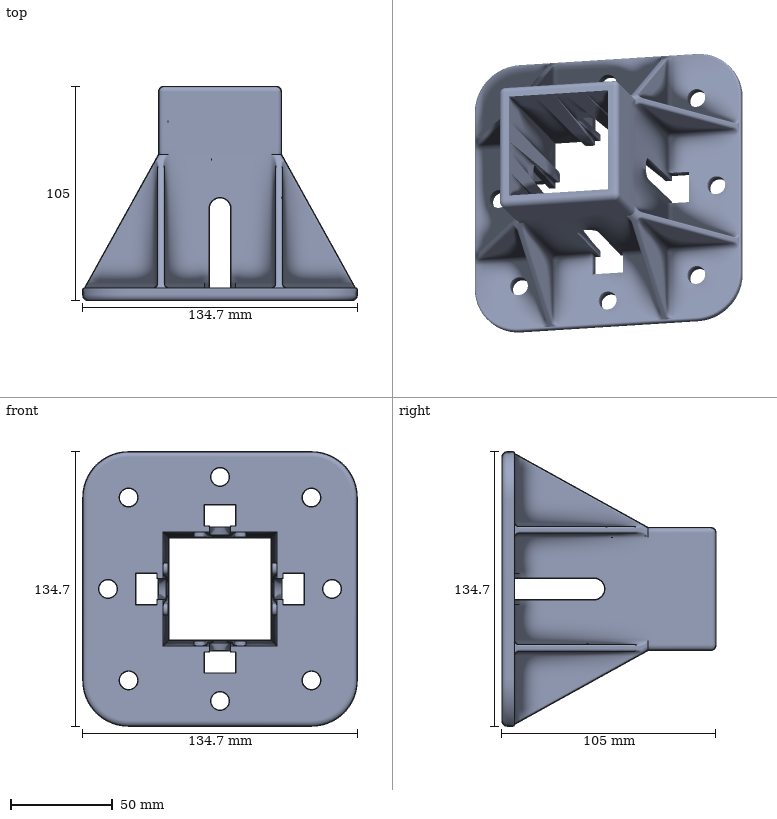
import cadquery as cq
plate_size = 134.7
plate_thickness = 6.2
plate_corner_radius = 22.5
plate_front_fillet = 2.7
plate_rear_fillet = 1.0
total_depth = 105.0

tube_half = 30.2
tube_fillet = 2.7
flare_rear = 71.7
flared_half = 31.0
bore_front_half = 27.9
bore_rear_half = 25.0

rib_thickness = 3.2
rib_offset = 29.0
rib_edge_fillet = 1.0
root_fillet = 2.3
rib_reach = plate_size / 2 - plate_rear_fillet

slot_width = 10.5
slot_end = 50.4
window_width = 15.4
window_outer = 41.2
window_depth = plate_thickness + root_fillet

rail_front = 0.3
rail_outer = 12.7
rail_inner_front = 7.5
rail_inner_rear = 2.4
rail_end_fillet = 2.4
rail_front_half_gap = 25.5

hole_diameter = 9.0
corner_hole_offset = plate_size / 2 - plate_corner_radius
side_hole_offset = 55.0

quarter_turns = [0, 90, 180, 270]
mirror_sides = [-1, 1]


def turned(shape, angle):
    """Rotate a shape about the tube axis."""
    return shape.rotate((0, 0, 0), (0, 1, 0), angle)


def section_plane(y):
    """Plane across the tube axis, with its normal pointing to the rear."""
    return cq.Plane(origin=(0, y, 0), xDir=(1, 0, 0), normal=(0, 1, 0))


def rectangle_loft(y_front, front_size, y_rear, rear_size):
    """Straight-sided taper between two rectangles centred on the tube axis."""
    return (
        cq.Workplane(section_plane(y_front))
        .rect(*front_size)
        .workplane(offset=y_rear - y_front)
        .rect(*rear_size)
        .loft(ruled=True)
    )


def square_loft(y_front, front_half, y_rear, rear_half):
    front_side = 2 * front_half
    rear_side = 2 * rear_half
    return rectangle_loft(y_front, (front_side, front_side), y_rear, (rear_side, rear_side))


def make_plate():
    return (
        cq.Workplane(section_plane(0))
        .rect(plate_size, plate_size)
        .extrude(plate_thickness)
        .edges("|Y")
        .fillet(plate_corner_radius)
        .faces("<Y")
        .edges()
        .fillet(plate_front_fillet)
        .faces(">Y")
        .edges()
        .fillet(plate_rear_fillet)
    )


def make_rear_tube():
    return (
        cq.Workplane(section_plane(flare_rear))
        .rect(2 * tube_half, 2 * tube_half)
        .extrude(total_depth - flare_rear)
        .edges("|Y or >Y")
        .fillet(tube_fillet)
    )


def make_flared_walls(width):
    """Solid cross whose four outer faces are strips of the flared tube walls."""
    pair = rectangle_loft(0, (width, 2 * flared_half), flare_rear, (width, 2 * tube_half))
    return pair.union(turned(pair, 90))


def make_rib_blank(side):
    """Untrimmed rib standing out in +X from one tube corner."""
    return (
        cq.Workplane("XY")
        .box(plate_size / 2 - rib_offset, flare_rear, rib_thickness, centered=(False, False, True))
        .translate((rib_offset, 0, side * rib_offset))
    )


def distance_out(point):
    """Distance from the tube axis, measured square to the tube sides."""
    return max(abs(point.x), abs(point.z))


def is_root_edge(edge):
    """Inner corners: along the tube beside the ribs, and around them on the plate."""
    start, end = edge.startPoint(), edge.endPoint()
    inside_plate_rim = distance_out(edge.Center()) < rib_reach
    along_tube = abs(start.y - end.y) > flare_rear / 2 and distance_out(edge.Center()) < flared_half + 1.3
    on_plate = max(abs(start.y - plate_thickness), abs(end.y - plate_thickness)) < 0.001
    return along_tube or (on_plate and inside_plate_rim)


def is_slope_edge(edge):
    """Long edges running down the sloping backs of the ribs."""
    start, end = edge.startPoint(), edge.endPoint()
    return abs(distance_out(start) - distance_out(end)) > 20.2 and abs(start.y - end.y) > 27


def make_ribbed_flare():
    blank = cq.Workplane(section_plane(0)).rect(plate_size, plate_size).extrude(plate_thickness)
    blank = blank.union(make_flared_walls(2 * rib_offset))
    for angle in quarter_turns:
        for side in mirror_sides:
            blank = blank.union(turned(make_rib_blank(side), angle))
    root_edges = [edge for edge in blank.edges().vals() if is_root_edge(edge)]
    blank = blank.newObject(root_edges).fillet(root_fillet)

    pyramid = (
        square_loft(plate_thickness, rib_reach, flare_rear, tube_half)
        .edges("not (#Y or |X or |Z)")
        .fillet(tube_fillet)
    )
    flare = blank.intersect(pyramid)
    slope_edges = [edge for edge in flare.edges().vals() if is_slope_edge(edge)]
    return flare.newObject(slope_edges).fillet(rib_edge_fillet)


def make_window():
    """Opening in the plate, also clearing the fillet at the foot of the wall."""
    return (
        cq.Workplane("XY")
        .box(window_width, window_depth, window_outer - tube_half, centered=(True, False, False))
        .translate((0, 0, tube_half))
    )


def make_slot():
    half_width = slot_width / 2
    arc_start = slot_end - half_width
    return (
        cq.Workplane("XY")
        .moveTo(-half_width, 0)
        .lineTo(-half_width, arc_start)
        .threePointArc((0, slot_end), (half_width, arc_start))
        .lineTo(half_width, 0)
        .close()
        .extrude(window_outer)
    )


def make_rail(side):
    """Rail blank on the +Z wall, its inner edge closing in behind the slot."""
    return (
        cq.Workplane("XY")
        .moveTo(side * rail_inner_front, rail_front)
        .lineTo(side * rail_outer, rail_front)
        .lineTo(side * rail_outer, total_depth)
        .lineTo(side * rail_inner_rear, total_depth)
        .close()
        .extrude(flared_half)
        .edges("|Z and <Y")
        .fillet(rail_end_fillet)
    )


def make_bore():
    """Tapered bore, with the rails left standing on its four walls."""
    bore = square_loft(0, bore_front_half, total_depth, bore_rear_half)
    for angle in quarter_turns:
        for side in mirror_sides:
            bore = bore.cut(turned(make_rail(side), angle))
    clearance = square_loft(0, rail_front_half_gap, total_depth, bore_rear_half)
    return bore.union(clearance)


def make_holes():
    corner = corner_hole_offset
    centres = [(x, z) for x in (-corner, corner) for z in (-corner, corner)]
    for side in mirror_sides:
        centres.append((side * side_hole_offset, 0))
        centres.append((0, side * side_hole_offset))
    return (
        cq.Workplane(section_plane(0))
        .pushPoints(centres)
        .circle(hole_diameter / 2)
        .extrude(plate_thickness)
    )


body = make_plate().union(make_ribbed_flare()).union(make_rear_tube())

for angle in quarter_turns:
    body = body.cut(turned(make_window(), angle))
body = body.union(make_flared_walls(window_width))

body = body.cut(make_bore())
for angle in quarter_turns:
    body = body.cut(turned(make_slot(), angle))

result = body.cut(make_holes())